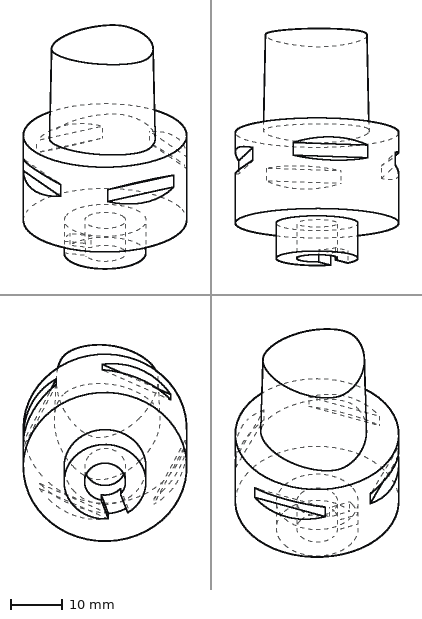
import cadquery as cq
import math

SHANK_LENGTH = 19.0
SHANK_BASE_RADIUS = 10.35
SHANK_TIP_RADIUS = 9.95
LOBE_HEIGHT = 0.7
OUTLINE_STEPS = 72

FLANGE_DIAMETER = 32.0
FLANGE_HEIGHT = 18.0
GROOVE_COUNT = 4
GROOVE_BELOW_TOP = 6.05
GROOVE_FLOOR_HEIGHT = 2.5
GROOVE_FLOOR_OFFSET = 14.15
GROOVE_FLANK_ANGLE = 30

STUB_DIAMETER = 16.0
STUB_LENGTH = 44 - SHANK_LENGTH - FLANGE_HEIGHT
SLOT_WIDTH = 4.0
SLOT_HEIGHT = 2.5
BORE_DIAMETER = 8.0
BORE_DEPTH = STUB_LENGTH

FLANGE_TOP = FLANGE_HEIGHT / 2
FLANGE_BOTTOM = -FLANGE_HEIGHT / 2


def lobed_wire(mean_radius, z):
    """Closed three-lobed curve of constant width, with one lobe toward +Y."""
    points = []
    for step in range(OUTLINE_STEPS):
        angle = -math.pi / 2 + 2 * math.pi * step / OUTLINE_STEPS
        support = mean_radius - LOBE_HEIGHT * math.sin(3 * angle)
        slope = -3 * LOBE_HEIGHT * math.cos(3 * angle)
        x = support * math.cos(angle) - slope * math.sin(angle)
        y = support * math.sin(angle) + slope * math.cos(angle)
        points.append(cq.Vector(x, y, z))
    return cq.Wire.assembleEdges([cq.Edge.makeSpline(points, periodic=True)])


def make_shank():
    base = lobed_wire(SHANK_BASE_RADIUS, FLANGE_TOP)
    tip = lobed_wire(SHANK_TIP_RADIUS, FLANGE_TOP + SHANK_LENGTH)
    return cq.Workplane(cq.Solid.makeLoft([base, tip], True))


def make_groove_cutter():
    """Straight flared bar that cuts one groove on the +X side."""
    outer = FLANGE_DIAMETER / 2 + 0.45
    floor_half = GROOVE_FLOOR_HEIGHT / 2
    flare = (outer - GROOVE_FLOOR_OFFSET) * math.tan(math.radians(GROOVE_FLANK_ANGLE))
    centre_z = FLANGE_TOP - GROOVE_BELOW_TOP
    return (
        cq.Workplane("XZ")
        .moveTo(GROOVE_FLOOR_OFFSET, centre_z - floor_half)
        .lineTo(outer, centre_z - floor_half - flare)
        .lineTo(outer, centre_z + floor_half + flare)
        .lineTo(GROOVE_FLOOR_OFFSET, centre_z + floor_half)
        .close()
        .extrude(FLANGE_DIAMETER / 2, both=True)
    )


def make_holder():
    """Flange and shank in one piece, with grooves on the diagonals."""
    flange = (
        cq.Workplane("XY")
        .workplane(offset=FLANGE_BOTTOM)
        .circle(FLANGE_DIAMETER / 2)
        .extrude(FLANGE_HEIGHT)
    )
    pitch = 360 / GROOVE_COUNT
    for index in range(GROOVE_COUNT):
        angle = pitch * (index + 0.5)
        flange = flange.cut(make_groove_cutter().rotate((0, 0, 0), (0, 0, 1), angle))
    return flange.union(make_shank())


def make_stub():
    """Round stub under the flange, bored from below, with a slot through its wall at -X."""
    stub_bottom = FLANGE_BOTTOM - STUB_LENGTH
    stub = (
        cq.Workplane("XY")
        .workplane(offset=stub_bottom)
        .circle(STUB_DIAMETER / 2)
        .extrude(STUB_LENGTH)
    )
    bore = (
        cq.Workplane("XY")
        .workplane(offset=stub_bottom)
        .circle(BORE_DIAMETER / 2)
        .extrude(BORE_DEPTH)
    )
    slot = (
        cq.Workplane("XY")
        .box(STUB_DIAMETER / 2, SLOT_WIDTH, SLOT_HEIGHT, centered=(False, True, False))
        .translate((-STUB_DIAMETER / 2, 0, stub_bottom))
    )
    return stub.cut(bore).cut(slot)


holder = make_holder()
stub = make_stub()

result = cq.Compound.makeCompound([holder.val(), stub.val()])